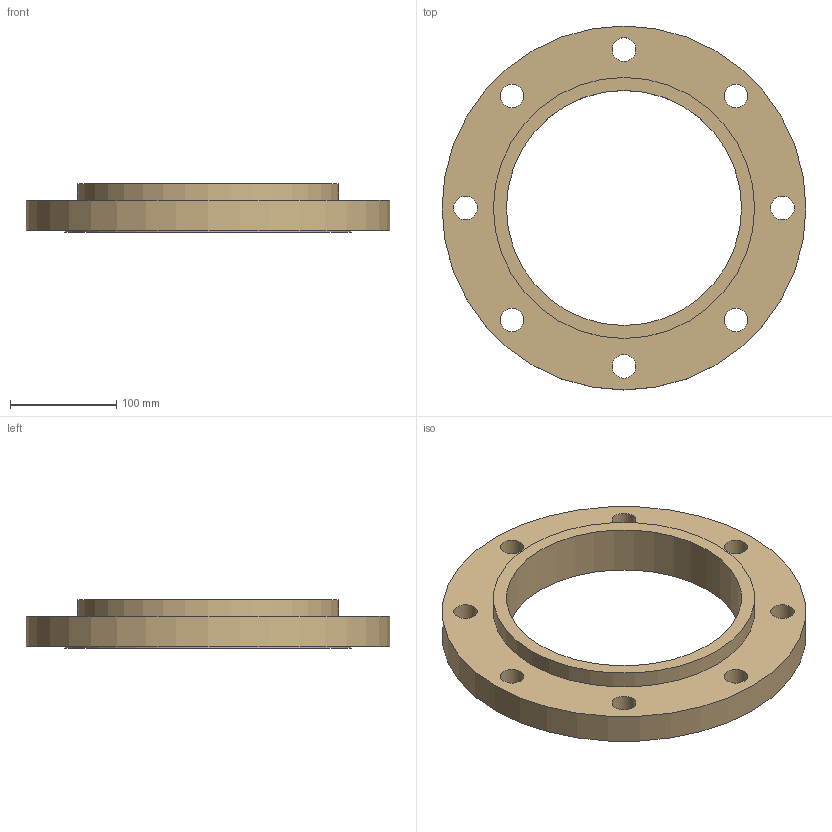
import cadquery as cq

flange_diameter = 342.9
flange_thickness = 28.575

raised_face_diameter = 269.875
raised_face_height = 1.5875

hub_diameter = 246.0
hub_top_above_plate_bottom = 44.45
hub_height = hub_top_above_plate_bottom - flange_thickness

bore_diameter = 221.5

bolt_count = 8
bolt_hole_diameter = 22.225
bolt_circle_diameter = 298.45

plate_bottom = raised_face_height
plate_top = plate_bottom + flange_thickness
total_height = plate_top + hub_height


def disc(diameter, height, bottom):
    """Solid disc on the Z axis, standing on the given level."""
    return cq.Workplane("XY").workplane(offset=bottom).circle(diameter / 2).extrude(height)


def flange_body():
    """Sealing face, plate and hub stacked on one axis."""
    raised_face = disc(raised_face_diameter, raised_face_height, 0)
    plate = disc(flange_diameter, flange_thickness, plate_bottom)
    hub = disc(hub_diameter, hub_height, plate_top)
    return raised_face.union(plate).union(hub)


def bolt_holes():
    """Evenly spaced cutters, the first one on the +X axis."""
    return (
        cq.Workplane("XY")
        .polarArray(bolt_circle_diameter / 2, 0, 360, bolt_count)
        .circle(bolt_hole_diameter / 2)
        .extrude(total_height)
    )


bore = disc(bore_diameter, total_height, 0)

result = flange_body().cut(bore).cut(bolt_holes())